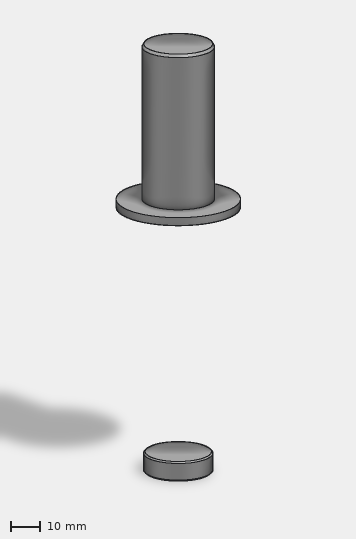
import cadquery as cq

total_height = 154.5

pin_diameter = 25.0
pin_chamfer_height = 1.1
pin_chamfer_inset = 0.6
flange_diameter = 43.0
flange_thickness = 3.0
pin_height = 59.0

disc_diameter = 24.0
disc_thickness = 7.1
disc_chamfer = 0.54


def make_flanged_pin():
    """Round pin with a chamfered top, rising from a thin round flange."""
    flange = cq.Workplane("XY").circle(flange_diameter / 2).extrude(flange_thickness)
    shank = (
        cq.Workplane("XY")
        .circle(pin_diameter / 2)
        .extrude(pin_height)
        .faces(">Z")
        .chamfer(pin_chamfer_height, pin_chamfer_inset)
    )
    return flange.union(shank).translate((0, 0, total_height - pin_height))


def make_disc():
    """Plain disc with both rims chamfered."""
    return (
        cq.Workplane("XY")
        .circle(disc_diameter / 2)
        .extrude(disc_thickness)
        .faces("<Z or >Z")
        .chamfer(disc_chamfer)
    )


flanged_pin = make_flanged_pin()
disc = make_disc()

result = cq.Compound.makeCompound([flanged_pin.val(), disc.val()])